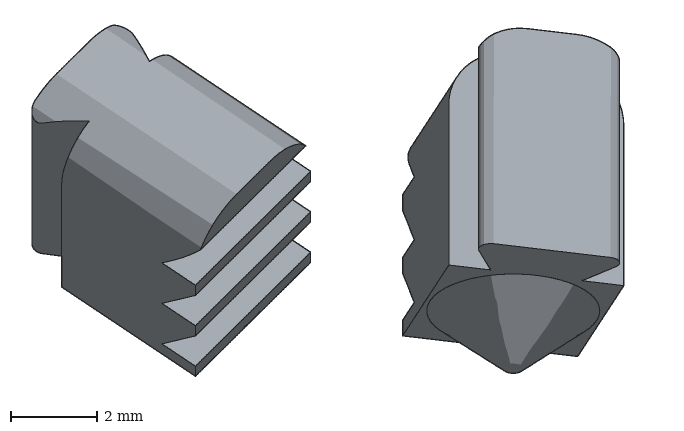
import cadquery as cq
import math

block_length = 4.0
rail_length = 1.395
width = 4.2
block_height = 5.6
top_radius = 1.505

rail_neck_width = 2.2
rail_flare_angle = math.radians(30)
rail_corner_radius = 0.3

notch_count = 3
notch_depth = 1.0
notch_height = 1.2
notch_pitch = 1.605
bottom_land = 0.4

cone_radius = block_length / 2
cone_height = 1.56
cone_angle = math.radians(40)


def rounded_bar():
    """Bar of the full length, with the two top edges along X rounded."""
    return (
        cq.Workplane("XY")
        .box(rail_length + block_length, width, block_height, centered=(False, True, False))
        .translate((-rail_length, 0, 0))
        .edges("|X and >Z")
        .fillet(top_radius)
    )


def plan_outline():
    """Upright prism with the plan shape of the block and its dovetail rail."""
    neck = rail_neck_width / 2
    flare = neck + rail_length * math.tan(rail_flare_angle)
    block = cq.Workplane("XY").box(block_length, width, block_height, centered=(False, True, False))
    rail = (
        cq.Workplane("XY")
        .polyline([(0, neck), (0, -neck), (-rail_length, -flare), (-rail_length, flare)])
        .close()
        .extrude(block_height)
        .edges("|Z and <X")
        .fillet(rail_corner_radius)
    )
    return block.union(rail)


def notch(floor):
    """Triangular cut with a flat floor, running through the full width."""
    return (
        cq.Workplane("XZ")
        .moveTo(block_length, floor)
        .lineTo(block_length - notch_depth, floor)
        .lineTo(block_length, floor + notch_height)
        .close()
        .extrude(width / 2, both=True)
    )


def pointed_tip():
    """Cone revolved about Z, ending in an arc tangent to its side."""
    sharp_height = cone_radius * math.tan(cone_angle)
    tip_radius = (sharp_height - cone_height) / (1 / math.cos(cone_angle) - 1)
    arc_center = tip_radius - cone_height

    def arc_point(angle):
        return (tip_radius * math.sin(angle), arc_center - tip_radius * math.cos(angle))

    return (
        cq.Workplane("XZ")
        .moveTo(0, 0)
        .lineTo(cone_radius, 0)
        .lineTo(*arc_point(cone_angle))
        .threePointArc(arc_point(cone_angle / 2), arc_point(0))
        .close()
        .revolve(360, (0, 0, 0), (0, 1, 0))
        .translate((block_length / 2, 0, 0))
    )


result = rounded_bar().intersect(plan_outline())
for index in range(notch_count):
    result = result.cut(notch(bottom_land + index * notch_pitch))
result = result.union(pointed_tip())